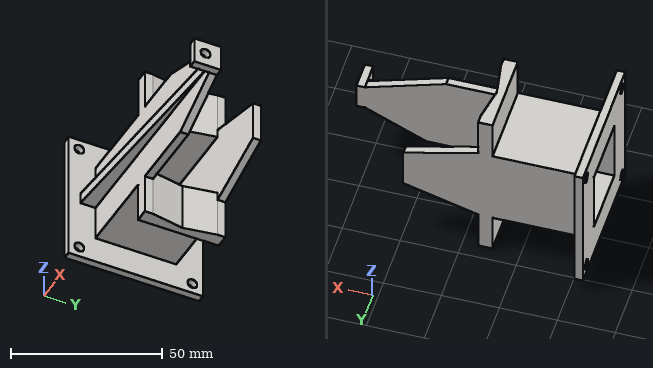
import cadquery as cq

flange_side = 50.0
flange_thickness = 3.0
flange_hole_offset = 21.0
flange_hole_diameter = 3.5

tube_side = 30.0
wall = 3.0

plate_start = 34.1
plate_thickness = 5.0
plate_end = plate_start + plate_thickness
plate_height = 60.0
notch_depth = 2.1

arm_end = 86.0
upper_taper_start = 58.0
lower_taper_start = 65.0
tab_thickness = 3.0
tab_width = 10.0
tab_height = 10.0
tab_hole_diameter = 3.5
tab_hole_from_edge = 4.2

rear_arm_end = 65.0
rear_arm_end_height = 15.0

rib_height = 5.6
rib_end = 83.0
rib_thickness = 4.0

half_tube = tube_side / 2
bore_side = tube_side - 2 * wall
half_bore = bore_side / 2


def box(x_start, x_end, width, height):
    """Block centred on the X axis."""
    return cq.Workplane("YZ", origin=(x_start, 0, 0)).rect(width, height).extrude(x_end - x_start)


def arm(outline, rear_y):
    """Wall of the XZ outline whose rear face lies at rear_y."""
    return cq.Workplane("XZ", origin=(0, rear_y, 0)).polyline(outline).close().extrude(wall)


def make_flange():
    spacing = 2 * flange_hole_offset
    holes = (
        cq.Workplane("YZ")
        .rect(spacing, spacing, forConstruction=True)
        .vertices()
        .circle(flange_hole_diameter / 2)
        .extrude(flange_thickness)
    )
    return box(0, flange_thickness, flange_side, flange_side).cut(holes)


def make_cross_plate():
    """Plate with a shallow V across its far face, between the arms."""
    notch = (
        cq.Workplane("XY", origin=(0, 0, -plate_height / 2))
        .moveTo(plate_end, -half_bore)
        .lineTo(plate_end - notch_depth, 0)
        .lineTo(plate_end, half_bore)
        .close()
        .extrude(plate_height)
    )
    return box(plate_start, plate_end, tube_side, plate_height).cut(notch)


def make_front_arm():
    outline = [
        (plate_start, half_tube),
        (upper_taper_start, half_tube),
        (arm_end, tab_height / 2),
        (arm_end, -tab_height / 2),
        (lower_taper_start, -half_tube),
        (plate_start, -half_tube),
    ]
    return arm(outline, -half_bore)


def make_rear_arm():
    outline = [
        (plate_end, half_tube),
        (rear_arm_end, rear_arm_end_height / 2),
        (rear_arm_end, -rear_arm_end_height / 2),
        (plate_end, -half_tube),
        (plate_start, -half_tube),
        (plate_start, half_tube),
    ]
    return arm(outline, half_tube)


def make_tab():
    tab_edge = -half_bore - tab_width
    blank = cq.Workplane("YZ", origin=(arm_end, tab_edge + tab_width / 2, 0)).rect(tab_width, tab_height)
    hole = cq.Workplane("YZ", origin=(arm_end, tab_edge + tab_hole_from_edge, 0))
    return blank.extrude(tab_thickness).cut(hole.circle(tab_hole_diameter / 2).extrude(tab_thickness))


def make_rib():
    return (
        cq.Workplane("XY", origin=(0, 0, -rib_thickness / 2))
        .moveTo(flange_thickness, -half_tube)
        .lineTo(flange_thickness, -half_tube - rib_height)
        .lineTo(rib_end, -half_tube)
        .close()
        .extrude(rib_thickness)
    )


result = (
    make_flange()
    .union(box(0, plate_start, tube_side, tube_side))
    .union(make_cross_plate())
    .cut(box(0, plate_end, bore_side, bore_side))
    .union(make_front_arm())
    .union(make_rear_arm())
    .union(make_tab())
    .union(make_rib())
)